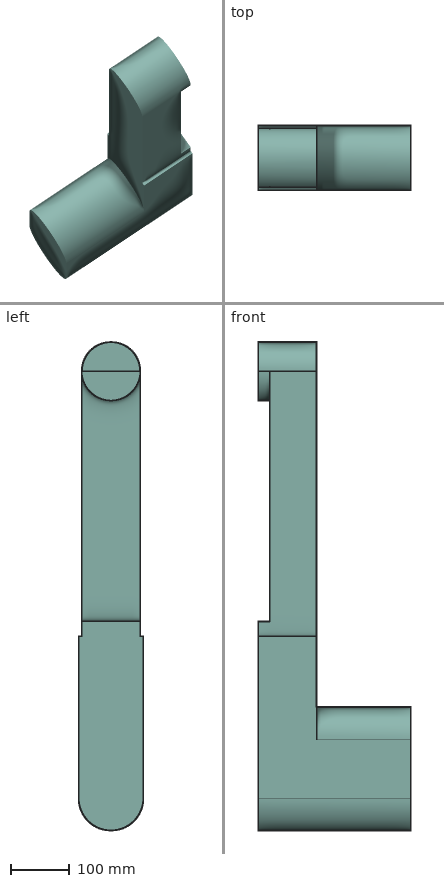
import cadquery as cq

total_height = 830.0
total_length = 260.0

housing_width = 110.0
housing_radius = housing_width / 2
housing_height = 330.0
foot_height = 210.0
column_depth = 100.0

arm_width = 100.0
arm_radius = arm_width / 2
arm_setback = 20.0
step_height = 25.0
pivot_height = total_height - arm_radius


def box(length, width, bottom, top, start=0.0):
    """Block centred on Y, running along X from start."""
    return (
        cq.Workplane("XY", origin=(start, 0, bottom))
        .rect(length, width)
        .extrude(top - bottom)
        .translate((length / 2, 0, 0))
    )


def foot_and_column():
    """Column and foot sharing one rounded underside; the foot also has a rounded top."""
    foot = (
        cq.Workplane("YZ")
        .moveTo(-housing_radius, housing_radius)
        .threePointArc((0, 0), (housing_radius, housing_radius))
        .lineTo(housing_radius, foot_height - housing_radius)
        .threePointArc((0, foot_height), (-housing_radius, foot_height - housing_radius))
        .close()
        .extrude(total_length)
    )
    column = box(column_depth, housing_width, housing_radius, housing_height)
    return foot.union(column)


def half_round(length, crown):
    """Half cylinder along X with its flat at the pivot height and its crown at the given Z."""
    return (
        cq.Workplane("YZ")
        .moveTo(-arm_radius, pivot_height)
        .threePointArc((0, crown), (arm_radius, pivot_height))
        .close()
        .extrude(length)
    )


def arm_on_step():
    """Set-back bar rising from a shallow step."""
    bar = box(column_depth - arm_setback, arm_width, housing_height, pivot_height, arm_setback)
    step = box(column_depth, arm_width, housing_height, housing_height + step_height)
    return bar.union(step)


def make_lower_half():
    """Lower half of the head cylinder, seated in the top of the arm."""
    return half_round(column_depth, pivot_height - arm_radius)


def make_upper_half():
    """Upper half of the head cylinder, resting on the lower half."""
    return half_round(column_depth, total_height)


def make_frame():
    """Housing and arm in one piece, with a half-round seat for the lower half cylinder."""
    return foot_and_column().union(arm_on_step()).cut(make_lower_half())


frame = make_frame()
lower_half = make_lower_half()
upper_half = make_upper_half()

result = cq.Compound.makeCompound([frame.solids().val(), lower_half.val(), upper_half.val()])